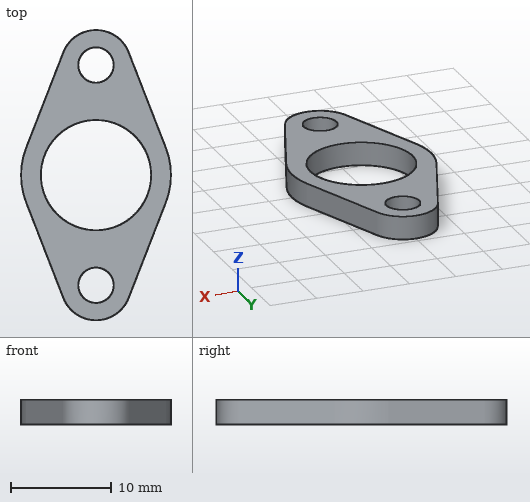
import cadquery as cq
import math

length = 29.0
width = 15.0
thickness = 2.5
bore_diameter = 11.0
bolt_hole_diameter = 3.5
end_radius = 3.5

middle_radius = width / 2
bolt_offset = length / 2 - end_radius

side_angle = math.asin((middle_radius - end_radius) / bolt_offset)
middle_x = middle_radius * math.cos(side_angle)
middle_y = middle_radius * math.sin(side_angle)
end_x = end_radius * math.cos(side_angle)
end_y = bolt_offset + end_radius * math.sin(side_angle)

plate = (
    cq.Workplane("XY")
    .moveTo(middle_x, -middle_y)
    .threePointArc((middle_radius, 0), (middle_x, middle_y))
    .lineTo(end_x, end_y)
    .threePointArc((0, length / 2), (-end_x, end_y))
    .lineTo(-middle_x, middle_y)
    .threePointArc((-middle_radius, 0), (-middle_x, -middle_y))
    .lineTo(-end_x, -end_y)
    .threePointArc((0, -length / 2), (end_x, -end_y))
    .close()
    .extrude(thickness)
)

bore = cq.Workplane("XY").circle(bore_diameter / 2).extrude(thickness)
bolt_holes = (
    cq.Workplane("XY")
    .pushPoints([(0, -bolt_offset), (0, bolt_offset)])
    .circle(bolt_hole_diameter / 2)
    .extrude(thickness)
)

result = plate.cut(bore).cut(bolt_holes)